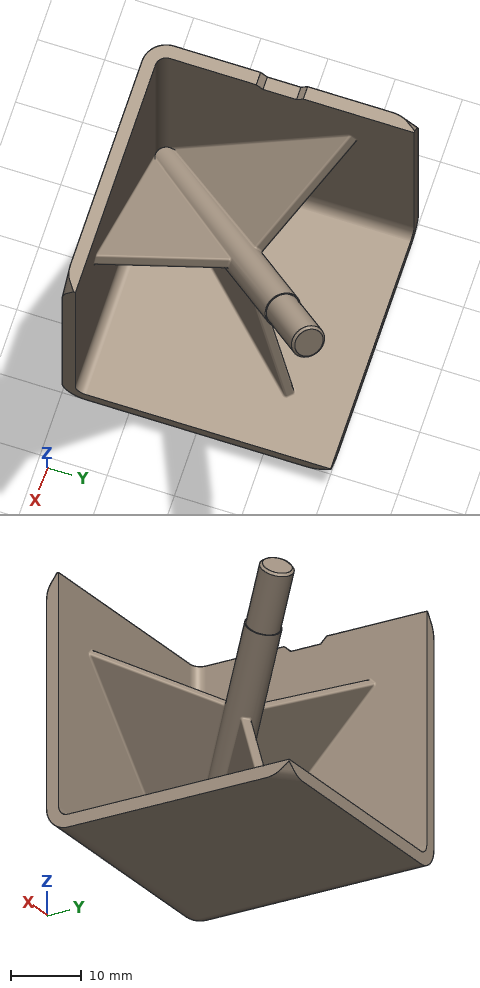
import cadquery as cq
import math

side = 40.0
wall = 2.0
inner_radius = 1.6
outer_radius = inner_radius + wall

rod_diameter = 5.4
neck_diameter = 5.05
rod_length = 60.95
neck_length = 10.0
rod_chamfer = 0.35

brace_length = 37.1
brace_end_width = 1.5
brace_draft = math.radians(1)
brace_radius = 0.3

corner_cut = 3.85
corner_bend_radius = 2.4
corner_angle = math.radians(45)

notch_bottom_width = 5.0
notch_depth = 1.0

X = cq.Vector(1, 0, 0)
Y = cq.Vector(0, 1, 0)
Z = cq.Vector(0, 0, 1)
diagonal = (X + Y + Z).normalized()


def rounded_cube(start, radius):
    """Cube from (start, start, start) to the far corner, its three near edges rounded."""
    size = side - start
    cube = cq.Workplane().box(size, size, size, centered=False)
    near_edges = cube.edges("(|X and <Y and <Z) or (|Y and <X and <Z) or (|Z and <X and <Y)")
    return near_edges.fillet(radius).translate((start, start, start))


def make_rod():
    """Stepped rod with a chamfered end."""
    body_length = rod_length - neck_length
    rod = (
        cq.Workplane(cq.Plane((0, 0, 0), Z - Y, diagonal))
        .circle(rod_diameter / 2)
        .extrude(body_length)
    )
    neck = (
        cq.Workplane(cq.Plane(diagonal * body_length, Z - Y, diagonal))
        .circle(neck_diameter / 2)
        .extrude(neck_length)
        .faces(cq.selectors.DirectionMinMaxSelector(diagonal))
        .chamfer(rod_chamfer)
    )
    return rod.union(neck)


def make_brace(inward):
    """Drafted web from the rod axis to the plate facing `inward`, ending square to the rod."""
    outward = (diagonal * diagonal.dot(inward) - inward).normalized()
    end_half = brace_end_width / 2
    root_half = end_half + brace_length * math.tan(brace_draft)
    return (
        cq.Workplane(cq.Plane((0, 0, 0), diagonal, outward))
        .polyline([(0, -root_half), (brace_length, -end_half), (brace_length, end_half), (0, root_half)])
        .close()
        .extrude(side)
        .faces(cq.selectors.DirectionMinMaxSelector(diagonal))
        .edges(cq.selectors.ParallelDirSelector(outward))
        .fillet(brace_radius)
    )


def round_foot(brace, inward):
    """Brace joined to a slab in the place of its plate, with a fillet around the joint."""
    slab_size = [wall if axis == inward else side for axis in (X, Y, Z)]
    joined = brace.union(cq.Workplane().box(*slab_size, centered=False))
    margin = wall / 2
    near = [margin] * 3
    far = [wall + margin if axis == inward else side - margin for axis in (X, Y, Z)]
    return joined.edges(cq.selectors.BoxSelector(near, far, boundingbox=True)).fillet(brace_radius)


def round_rod_joints(rod_with_braces):
    """Fillet the joints between the rod and the braces."""
    near = [wall] * 3
    far = [(rod_length - neck_length) / math.sqrt(3) - wall] * 3
    joints = cq.selectors.BoxSelector(near, far) - cq.selectors.TypeSelector("LINE")
    return rod_with_braces.edges(joints).fillet(brace_radius)


def make_corner_cutter(first, second, inward):
    """Cutter for the free corner of the plate spanned by `first` and `second`."""
    outward = (first + second).normalized()
    middle = (first + second) * (side - corner_cut / 2)
    bend_run = corner_bend_radius * math.sin(corner_angle)
    bend_depth = corner_bend_radius * (1 - math.cos(corner_angle))
    half_angle = corner_angle / 2
    mid_run = corner_bend_radius * math.sin(half_angle)
    mid_depth = corner_bend_radius * (1 - math.cos(half_angle))
    cut_run = corner_cut
    cut_depth = bend_depth + (cut_run - bend_run) * math.tan(corner_angle)
    return (
        cq.Workplane(cq.Plane(middle, outward, outward.cross(inward)))
        .threePointArc((mid_run, mid_depth), (bend_run, bend_depth))
        .lineTo(cut_run, cut_depth)
        .lineTo(cut_run, 0)
        .close()
        .extrude(2 * corner_cut, both=True)
    )


def make_notch_cutter():
    """Trapezoidal groove with 45 degree flanks, centred on the -X wall."""
    bottom = notch_bottom_width / 2
    top = bottom + notch_depth
    return (
        cq.Workplane("YZ", origin=(0, side / 2, side))
        .polyline([(-top, 0), (-bottom, -notch_depth), (bottom, -notch_depth), (top, 0)])
        .close()
        .extrude(wall)
    )


envelope = rounded_cube(0, outer_radius)
result = envelope.cut(rounded_cube(wall, inner_radius))

rod_with_braces = make_rod()
for inward in (X, Y, Z):
    brace = make_brace(inward)
    rod_with_braces = rod_with_braces.union(brace)
    result = result.union(round_foot(brace, inward).intersect(envelope))
result = result.union(round_rod_joints(rod_with_braces).intersect(envelope))

for first, second, inward in ((X, Z, Y), (Y, Z, X), (X, Y, Z)):
    result = result.cut(make_corner_cutter(first, second, inward))
result = result.cut(make_notch_cutter())